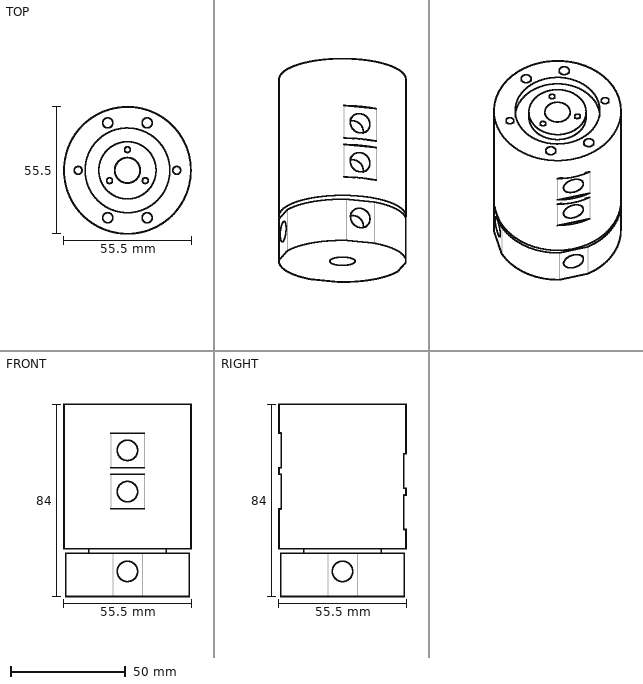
import cadquery as cq
import math

total_height = 84.0
base_height = 19.0
body_bottom = 20.8

body_diameter = 55.5
base_diameter = 55.5
base_across_flats = 54.0
neck_diameter = 34.0
bore_diameter = 11.0

recess_diameter = 37.0
recess_depth = 4.5
shaft_diameter = 25.0
shaft_setback = 1.0

port_diameter = 8.9
port_depth = 10.0
base_port_z = 11.0

seat_size = 15.0
seat_plane = 26.75
port_pitch = 18.0
front_upper_port_z = 63.8
back_upper_port_z = front_upper_port_z - port_pitch / 2

corner_hole_diameter = 4.4
corner_hole_x = 8.6
corner_hole_y = 20.7
corner_hole_depth = 10.0
side_hole_diameter = 3.4
side_hole_x = 21.5
side_hole_depth = 8.0
shaft_hole_diameter = 2.5
shaft_hole_circle_radius = 9.0
shaft_hole_count = 3
shaft_hole_depth = 6.0

drill_point_angle = 118.0


def cylinder(diameter, bottom, top):
    """Vertical cylinder on the Z axis between two heights."""
    return cq.Workplane("XY").workplane(offset=bottom).circle(diameter / 2).extrude(top - bottom)


def drilled_hole(diameter, depth, entry, direction):
    """Round hole of the given straight depth, ending in a drill-point cone."""
    radius = diameter / 2
    point_length = radius / math.tan(math.radians(drill_point_angle / 2))
    start = cq.Vector(*entry)
    axis = cq.Vector(*direction)
    shank = cq.Solid.makeCylinder(radius, depth, start, axis)
    point = cq.Solid.makeCone(radius, 0, point_length, start + axis * depth, axis)
    return cq.Workplane(obj=shank).union(cq.Workplane(obj=point))


def make_base():
    """Lower disc with four flats and one port in each flat."""
    flats = cq.Workplane("XY").rect(base_across_flats, base_across_flats).extrude(base_height)
    base = cylinder(base_diameter, 0, base_height).intersect(flats)
    flat_distance = base_across_flats / 2
    for x, y in ((1, 0), (0, 1), (-1, 0), (0, -1)):
        entry = (x * flat_distance, y * flat_distance, base_port_z)
        base = base.cut(drilled_hole(port_diameter, port_depth, entry, (-x, -y, 0)))
    return base


def make_body():
    """Upper cylinder with the annular recess around the shaft end."""
    recess_floor = total_height - recess_depth
    body = cylinder(body_diameter, body_bottom, total_height)
    body = body.cut(cylinder(recess_diameter, recess_floor, total_height))
    return body.union(cylinder(shaft_diameter, recess_floor, total_height - shaft_setback))


def cut_body_port(part, side, z):
    """Square seat and port on the front (side = -1) or back (side = 1)."""
    seat_depth = body_diameter / 2 - seat_plane
    seat_center_y = side * (seat_plane + seat_depth / 2)
    seat = cq.Workplane("XY").box(seat_size, seat_depth, seat_size).translate((0, seat_center_y, z))
    port = drilled_hole(port_diameter, port_depth, (0, side * seat_plane, z), (0, -side, 0))
    return part.cut(seat).cut(port)


def cut_top_screw_holes(part):
    """Four corner holes and two side holes in the rim of the body."""
    down = (0, 0, -1)
    for x_side in (-1, 1):
        entry = (x_side * side_hole_x, 0, total_height)
        part = part.cut(drilled_hole(side_hole_diameter, side_hole_depth, entry, down))
        for y_side in (-1, 1):
            entry = (x_side * corner_hole_x, y_side * corner_hole_y, total_height)
            part = part.cut(drilled_hole(corner_hole_diameter, corner_hole_depth, entry, down))
    return part


def cut_shaft_screw_holes(part):
    """Ring of small holes in the shaft end, the first one toward +Y."""
    for index in range(shaft_hole_count):
        angle = math.radians(90 + index * 360 / shaft_hole_count)
        entry = (
            shaft_hole_circle_radius * math.cos(angle),
            shaft_hole_circle_radius * math.sin(angle),
            total_height - shaft_setback,
        )
        part = part.cut(drilled_hole(shaft_hole_diameter, shaft_hole_depth, entry, (0, 0, -1)))
    return part


neck = cylinder(neck_diameter, base_height, body_bottom)
result = make_base().union(neck).union(make_body())
for side, upper_port_z in ((-1, front_upper_port_z), (1, back_upper_port_z)):
    for port_z in (upper_port_z, upper_port_z - port_pitch):
        result = cut_body_port(result, side, port_z)
result = cut_top_screw_holes(result)
result = cut_shaft_screw_holes(result)
result = result.cut(cylinder(bore_diameter, 0, total_height))